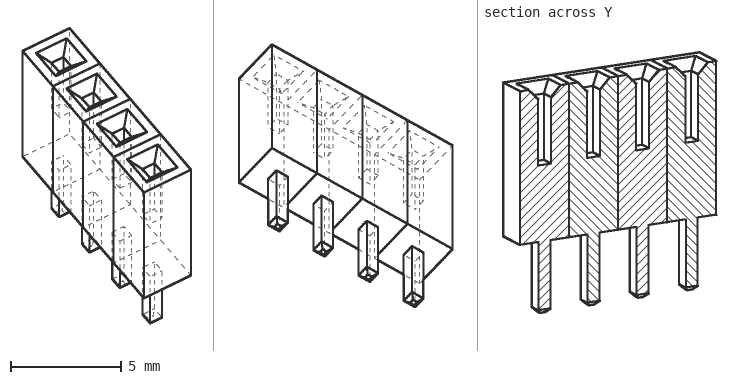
import cadquery as cq

CONTACT_COUNT = 4
ROW_LENGTH = 10.16
OVERALL_HEIGHT = 10.7
PITCH = ROW_LENGTH / CONTACT_COUNT

PIN_LENGTH = 3.42
PIN_WIDTH = 0.64
TIP_CHAMFER = 0.2

BLOCK_HEIGHT = OVERALL_HEIGHT - PIN_LENGTH
MOUTH_WIDTH = 1.65
BORE_WIDTH = PIN_WIDTH
FUNNEL_DEPTH = (MOUTH_WIDTH - BORE_WIDTH) / 2
SOCKET_DEPTH = BLOCK_HEIGHT / 2


def make_block():
    """Square block standing on Z = 0."""
    return cq.Workplane("XY").rect(PITCH, PITCH).extrude(BLOCK_HEIGHT)


def make_socket_cavity():
    """Square funnel leading into a blind square bore."""
    bore = (
        cq.Workplane("XY", origin=(0, 0, BLOCK_HEIGHT))
        .rect(BORE_WIDTH, BORE_WIDTH)
        .extrude(-SOCKET_DEPTH)
    )
    funnel = (
        cq.Workplane("XY", origin=(0, 0, BLOCK_HEIGHT - FUNNEL_DEPTH))
        .rect(BORE_WIDTH, BORE_WIDTH)
        .workplane(offset=FUNNEL_DEPTH)
        .rect(MOUTH_WIDTH, MOUTH_WIDTH)
        .loft(ruled=True)
    )
    return bore.union(funnel)


def make_pin():
    """Square pin hanging below the block, with a chamfered tip."""
    return (
        cq.Workplane("XY")
        .rect(PIN_WIDTH, PIN_WIDTH)
        .extrude(-PIN_LENGTH)
        .faces("<Z")
        .chamfer(TIP_CHAMFER)
    )


def make_contact(center_x):
    """One socket contact: block and pin in one piece, with the socket cut from the top."""
    contact = make_block().union(make_pin()).cut(make_socket_cavity())
    return contact.translate((center_x, 0, 0))


first_center_x = -(ROW_LENGTH - PITCH) / 2
contacts = [make_contact(first_center_x + index * PITCH) for index in range(CONTACT_COUNT)]

result = cq.Compound.makeCompound([contact.solids().val() for contact in contacts])